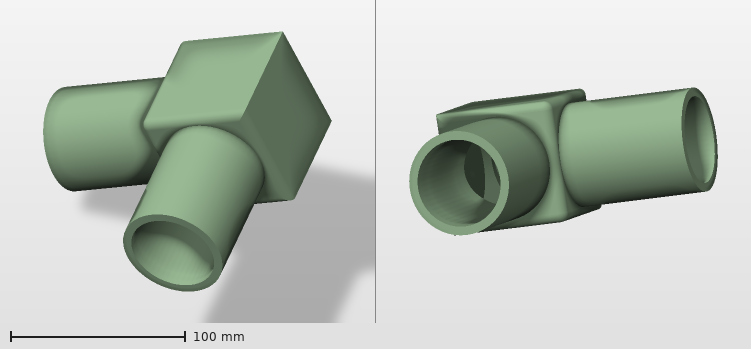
import cadquery as cq
import math

overall_x = 158.9
tilt = 25.0
block_side = 70.0
tube_outer = 60.0
tube_inner = 50.0

edge_radius = (block_side - tube_outer) / 2
half_block = block_side / 2

wall = (tube_outer - tube_inner) / 2
bore_floor = half_block - wall

tilt_rad = math.radians(tilt)
corner_reach = (half_block + tube_outer / 2) * math.sin(tilt_rad)
elbow_length = (overall_x - corner_reach) / math.cos(tilt_rad)
tube_length = elbow_length - block_side


def make_block():
    """Cube centred on the origin, rounded around its two tube-bearing faces."""
    block = cq.Workplane("XY").box(block_side, block_side, block_side)
    rounded_edges = block.faces("<X or <Y").edges()
    return block.newObject(rounded_edges.vals()).fillet(edge_radius)


def make_rod(direction, diameter, start, end):
    """Cylinder along a direction between two signed distances from the block centre."""
    base = cq.Vector(*direction) * start
    plane = cq.Plane(origin=base.toTuple(), normal=direction)
    return cq.Workplane(plane).circle(diameter / 2).extrude(end - start)


tube_directions = ((-1, 0, 0), (0, -1, 0))
tube_end = half_block + tube_length

elbow = make_block()
for direction in tube_directions:
    elbow = elbow.union(make_rod(direction, tube_outer, half_block, tube_end))

for direction in tube_directions:
    elbow = elbow.cut(make_rod(direction, tube_inner, -bore_floor, tube_end))

result = elbow.rotate((0, 0, 0), (0, 1, 0), -tilt)